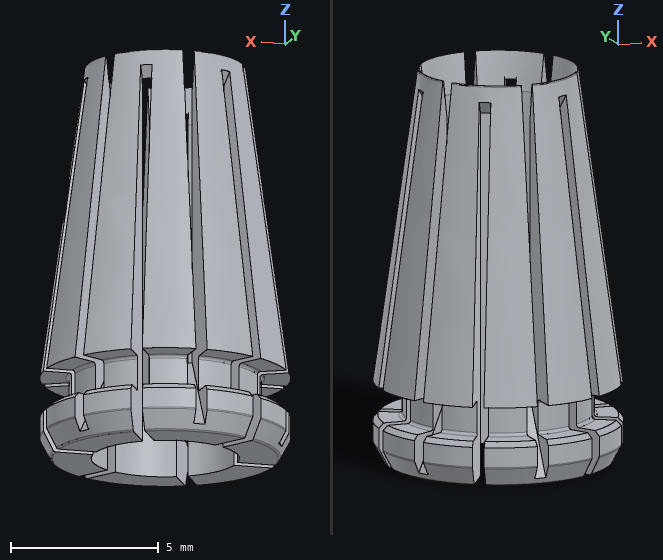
import cadquery as cq
import math

LENGTH = 13.6
HEAD_TAPER_TOP = 0.7
HEAD_BAND_TOP = 1.4
HEAD_TOP = 1.58
CONE_BOTTOM = 2.79

CONE_BASE_DIAMETER = 8.5
CONE_BASE_RADIUS = CONE_BASE_DIAMETER / 2
HEAD_BOTTOM_RADIUS = 3.88
GROOVE_RADIUS = 3.25
CONE_HALF_ANGLE = 8.0
HEAD_CHAMFER = HEAD_TOP - HEAD_BAND_TOP
GROOVE_FILLET = 0.11
HEAD_ROUNDING = 0.1

BORE_RADIUS = 2.5
BORE_TAPER_DEPTH = 1.36
RIM_THICKNESS = 0.04
RIM_ROUNDING = 0.04

SLOT_WIDTH = 0.4
SLOTS_PER_SET = 6
SLOT_PITCH = 360.0 / SLOTS_PER_SET
SLOT_END_ANGLE = 59.0
TOP_SLOT_BORE_END = 2.73
BOTTOM_SLOT_BORE_END = 12.54
CUT_CLEARANCE = 0.68

SLOT_END_SLOPE = math.tan(math.radians(SLOT_END_ANGLE))
TOP_RADIUS = CONE_BASE_RADIUS - (LENGTH - CONE_BOTTOM) * math.tan(math.radians(CONE_HALF_ANGLE))


def make_body():
    """Revolve the collet wall: head, groove and long cone, with the tapered bore."""
    fillet_bulge = GROOVE_FILLET * (1 - math.sqrt(0.5))
    profile = (
        cq.Workplane("XZ")
        .moveTo(BORE_RADIUS, 0)
        .lineTo(HEAD_BOTTOM_RADIUS, 0)
        .lineTo(CONE_BASE_RADIUS, HEAD_TAPER_TOP)
        .lineTo(CONE_BASE_RADIUS, HEAD_BAND_TOP)
        .lineTo(CONE_BASE_RADIUS - HEAD_CHAMFER, HEAD_TOP)
        .lineTo(GROOVE_RADIUS + GROOVE_FILLET, HEAD_TOP)
        .threePointArc(
            (GROOVE_RADIUS + fillet_bulge, HEAD_TOP + fillet_bulge),
            (GROOVE_RADIUS, HEAD_TOP + GROOVE_FILLET),
        )
        .lineTo(GROOVE_RADIUS, CONE_BOTTOM - GROOVE_FILLET)
        .threePointArc(
            (GROOVE_RADIUS + fillet_bulge, CONE_BOTTOM - fillet_bulge),
            (GROOVE_RADIUS + GROOVE_FILLET, CONE_BOTTOM),
        )
        .lineTo(CONE_BASE_RADIUS, CONE_BOTTOM)
        .lineTo(TOP_RADIUS, LENGTH)
        .lineTo(TOP_RADIUS - RIM_THICKNESS, LENGTH)
        .lineTo(BORE_RADIUS, LENGTH - BORE_TAPER_DEPTH)
        .close()
    )
    return profile.revolve(360, (0, 0, 0), (0, 1, 0))


def round_outer_edges(body):
    """Break the outer edges at the bottom face, above the head taper and at the thin top rim."""
    widest = cq.selectors.RadiusNthSelector(-1)
    body = body.edges("%CIRCLE").edges(widest).edges("<Z").fillet(HEAD_ROUNDING)
    body = body.faces("<Z").edges(widest).fillet(HEAD_ROUNDING)
    return body.faces(">Z").edges(widest).fillet(RIM_ROUNDING)


def make_slot(bore_end, end_slope, open_end, angle):
    """Radial cutter from inside the bore outwards, with a sloping end and an open end."""
    inner = BORE_RADIUS - CUT_CLEARANCE
    outer = CONE_BASE_RADIUS + CUT_CLEARANCE
    corners = [
        (inner, bore_end + end_slope * (inner - BORE_RADIUS)),
        (outer, bore_end + end_slope * (outer - BORE_RADIUS)),
        (outer, open_end),
        (inner, open_end),
    ]
    cutter = cq.Workplane("XZ").polyline(corners).close().extrude(SLOT_WIDTH / 2, both=True)
    return cutter.rotate((0, 0, 0), (0, 0, 1), angle)


result = round_outer_edges(make_body())

for index in range(SLOTS_PER_SET):
    bottom_slot_angle = index * SLOT_PITCH
    top_slot_angle = bottom_slot_angle + SLOT_PITCH / 2
    result = result.cut(
        make_slot(BOTTOM_SLOT_BORE_END, SLOT_END_SLOPE, -CUT_CLEARANCE, bottom_slot_angle)
    )
    result = result.cut(
        make_slot(TOP_SLOT_BORE_END, -SLOT_END_SLOPE, LENGTH + CUT_CLEARANCE, top_slot_angle)
    )